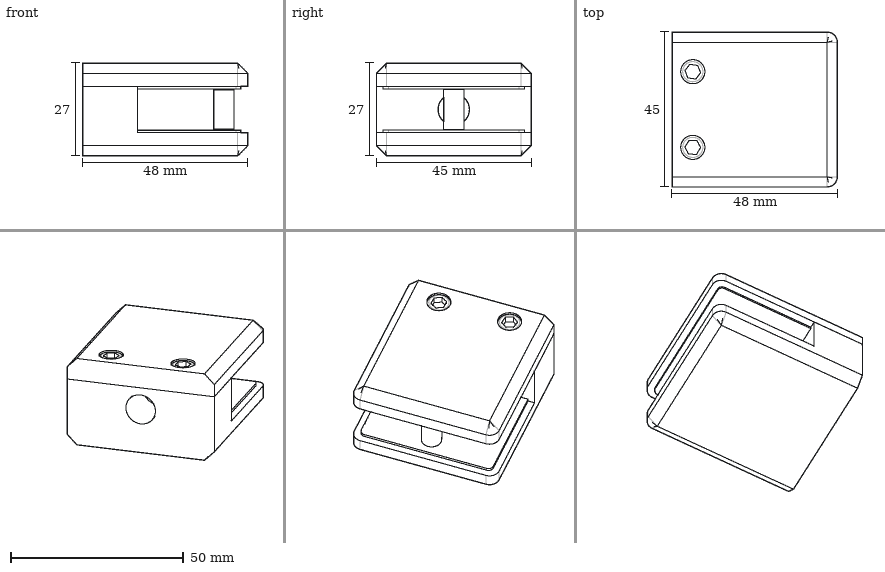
import cadquery as cq


LENGTH = 48.0
WIDTH = 45.0
HEIGHT = 27.0
CORNER = 3.0

JAW_THICKNESS = 6.75
BLOCK_LENGTH = 16.0
SLOT_HEIGHT = HEIGHT - 2 * JAW_THICKNESS
SLOT_LENGTH = LENGTH - BLOCK_LENGTH
SPLIT_Z = SLOT_HEIGHT / 2

PAD_THICKNESS = 0.75
PAD_MARGIN = 2.0
PAD_CORNER = 1.5
PAD_LENGTH = SLOT_LENGTH - PAD_MARGIN
PAD_WIDTH = WIDTH - 2 * PAD_MARGIN

BORE_DIAMETER = 9.0

PIN_DIAMETER = 5.95
PIN_X = 41.05
PIN_END_GAP = 0.2
PIN_LENGTH = SLOT_HEIGHT - 2 * (PAD_THICKNESS + PIN_END_GAP)

SCREW_X = 6.0
SCREW_SPACING = 22.0
HEAD_DIAMETER = 7.0
HEAD_RECESS = 0.3
HEAD_HEIGHT = 4.0
HEAD_ROUND = 0.6
HEAD_TOP_Z = HEIGHT / 2 - HEAD_RECESS
SHANK_DIAMETER = 4.0
SHANK_LENGTH = 12.0
HEX_ACROSS_CORNERS = 4.6
HEX_DEPTH = 2.0
SCREWS = [
    (-SCREW_SPACING / 2, -2),
    (SCREW_SPACING / 2, -8),
]


def make_envelope():
    """Outer shape of the closed clamp, chamfered around top and bottom except at the mounting face."""
    block = cq.Workplane("XY").box(LENGTH, WIDTH, HEIGHT, centered=(False, True, True))
    block = block.edges("|Z and >X").fillet(CORNER)
    return block.faces("<Z or >Z").edges("not <X").chamfer(CORNER)


def make_pad(bottom_z):
    """Pad on a jaw, reaching from the block to just short of the mouth."""
    pad = cq.Workplane("XY").box(PAD_LENGTH, PAD_WIDTH, PAD_THICKNESS, centered=(False, True, False))
    pad = pad.edges("|Z and >X").fillet(PAD_CORNER)
    return pad.translate((BLOCK_LENGTH, 0, bottom_z))


def make_stepped_shaft(y, head_height):
    """Coaxial head and shank of a screw or of its hole, with the shoulder at the seat of the head."""
    head = cq.Workplane("XY").circle(HEAD_DIAMETER / 2).extrude(head_height)
    shank = cq.Workplane("XY").circle(SHANK_DIAMETER / 2).extrude(-SHANK_LENGTH)
    return head.union(shank).translate((SCREW_X, y, HEAD_TOP_Z - HEAD_HEIGHT))


def make_screw(y, hex_angle):
    """Cap screw with a rounded head edge and a hexagon socket."""
    socket = cq.Workplane("XY").polygon(6, HEX_ACROSS_CORNERS).extrude(-HEX_DEPTH)
    socket = socket.rotate((0, 0, 0), (0, 0, 1), hex_angle).translate((SCREW_X, y, HEAD_TOP_Z))
    shaft = make_stepped_shaft(y, HEAD_HEIGHT)
    return shaft.faces(">Z").edges().fillet(HEAD_ROUND).cut(socket)


def cut_screw_holes(body):
    """Counterbored holes that hold the screws below the top of the cover."""
    for y, _ in SCREWS:
        body = body.cut(make_stepped_shaft(y, HEAD_HEIGHT + HEAD_RECESS))
    return body


def make_space_above_split():
    """Block that fills the envelope above the split plane."""
    space = cq.Workplane("XY").box(LENGTH, WIDTH, JAW_THICKNESS, centered=(False, True, False))
    return space.translate((0, 0, SPLIT_Z))


def make_cover():
    """Upper jaw: the envelope above the split plane, with its pad."""
    cover = make_envelope().intersect(make_space_above_split())
    cover = cover.union(make_pad(SPLIT_Z - PAD_THICKNESS))
    return cut_screw_holes(cover)


def make_base():
    """Lower jaw and block: the envelope below the split plane, with the slot, pad and bore."""
    slot = cq.Workplane("XY").box(SLOT_LENGTH, WIDTH, SLOT_HEIGHT, centered=(False, True, True))
    bore = cq.Workplane("YZ").circle(BORE_DIAMETER / 2).extrude(BLOCK_LENGTH)
    base = make_envelope().cut(make_space_above_split())
    base = base.cut(slot.translate((BLOCK_LENGTH, 0, 0)))
    base = base.union(make_pad(-SLOT_HEIGHT / 2)).cut(bore)
    return cut_screw_holes(base)


def make_pin():
    """Safety pin standing between the two pads, just clear of both."""
    pin = cq.Workplane("XY").circle(PIN_DIAMETER / 2).extrude(PIN_LENGTH)
    return pin.translate((PIN_X, 0, -PIN_LENGTH / 2))


base = make_base()
cover = make_cover()
pin = make_pin()
screws = [make_screw(y, hex_angle) for y, hex_angle in SCREWS]

result = cq.Compound.makeCompound([base.val(), cover.val(), pin.val(), *[screw.val() for screw in screws]])